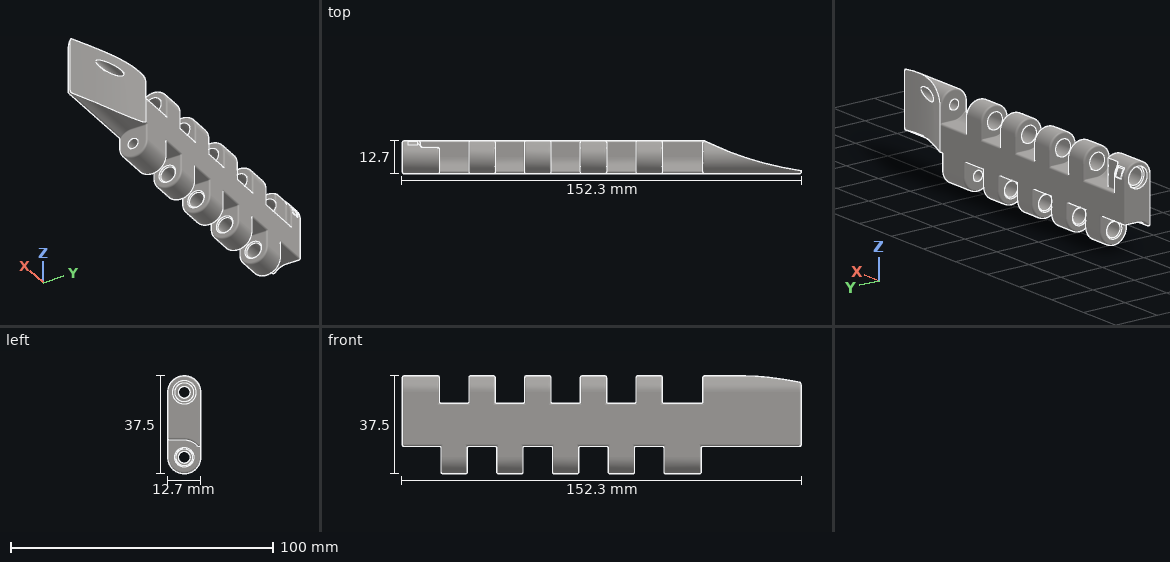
import cadquery as cq

length = 152.32
thickness = 12.7
height = 37.5
barrel_radius = thickness / 2
half_thickness = thickness / 2

first_knuckle_end = 14.53
knuckle_pitch = 10.63
side_clearance = 0.25
knuckles_per_side = 5
last_knuckle_width = 14.86

lower_axis_z = barrel_radius
upper_axis_z = height - barrel_radius
radial_clearance = 0.25
relief_radius = barrel_radius + radial_clearance

taper_start_x = 115.2
taper_radius = 127.0
tip_thickness = 1.25

bore_radius = 3.6
lower_bore_radius = 3.2
bore_chamfer = 0.5
pin_radius = 2.2
counterbore_radius = 4.5
counterbore_depth = 2.0

notch_start_x = 6.9
notch_depth = 2.6
recess_start_x = 2.3
recess_width = 3.6
recess_front_y = 4.75
recess_depth = 0.4

edge_fillet = 0.8
floor_fillet = 0.4
tolerance = 0.001


def step_x(index):
    """X of the nominal boundary between knuckle number index and the next one."""
    return first_knuckle_end + index * knuckle_pitch


last_boundary_x = step_x(2 * knuckles_per_side - 2)
last_knuckle_end_x = last_boundary_x + last_knuckle_width


def block(x_start, x_end, y_start, y_end, z_start, z_end):
    size = (x_end - x_start, y_end - y_start, z_end - z_start)
    return cq.Workplane("XY").box(*size, centered=False).translate((x_start, y_start, z_start))


def rod(radius, x_start, x_end, z):
    return cq.Workplane("YZ").center(0, z).circle(radius).extrude(x_end - x_start).translate((x_start, 0, 0))


def blank():
    """Plate with a full round along its upper and lower edges."""
    plate = block(0, length, -half_thickness, half_thickness, lower_axis_z, upper_axis_z)
    for axis_z in (lower_axis_z, upper_axis_z):
        plate = plate.union(rod(barrel_radius, 0, length, axis_z))
    return plate


def knuckle_gap(x_start, x_end, axis_z, outward):
    """Clearance for a mating knuckle: cylindrical toward the front, flat toward the back."""
    floor_z = axis_z - outward * relief_radius
    outer_z = axis_z + outward * relief_radius
    profile = (
        cq.Workplane("YZ")
        .moveTo(thickness, floor_z)
        .lineTo(0, floor_z)
        .radiusArc((-relief_radius, axis_z), outward * relief_radius)
        .lineTo(-relief_radius, outer_z)
        .lineTo(thickness, outer_z)
        .close()
    )
    return profile.extrude(x_end - x_start).translate((x_start, 0, 0))


def gaps():
    """All gaps of the upper row, then all gaps of the lower row."""
    cutters = []
    for index in range(knuckles_per_side):
        is_last = index == knuckles_per_side - 1
        start = step_x(2 * index)
        end = last_knuckle_end_x if is_last else step_x(2 * index + 1)
        cutters.append(knuckle_gap(start - side_clearance, end + side_clearance, upper_axis_z, 1))

    lower_start = 0
    for index in range(knuckles_per_side):
        cutters.append(knuckle_gap(lower_start, step_x(2 * index) + side_clearance, lower_axis_z, -1))
        lower_start = step_x(2 * index + 1) - side_clearance
    cutters.append(knuckle_gap(last_knuckle_end_x - side_clearance, length, lower_axis_z, -1))
    return cutters


def taper():
    """Everything behind the concave back of the long end."""
    profile = (
        cq.Workplane("XY")
        .moveTo(taper_start_x, half_thickness)
        .radiusArc((length, tip_thickness - half_thickness), -taper_radius)
        .lineTo(length, half_thickness)
        .close()
    )
    return profile.extrude(height)


def back_notch():
    floor_z = upper_axis_z - relief_radius
    front_y = half_thickness - notch_depth
    return block(notch_start_x, first_knuckle_end, front_y, half_thickness, floor_z, height)


def is_rounded_edge(edge):
    """True for outer corners; false for inside corners and lines where faces run on smoothly."""
    box = edge.BoundingBox()
    if box.xlen > tolerance:
        on_broad_face = box.ylen < tolerance and abs(abs(box.center.y) - half_thickness) < tolerance
        axis_distance = min(abs(box.center.z - lower_axis_z), abs(box.center.z - upper_axis_z))
        return on_broad_face and axis_distance > tolerance
    on_leaf_end = box.xmin < tolerance or box.xmax > length - tolerance
    is_upright = box.ylen < tolerance
    is_barrel_round = box.ylen > half_thickness + tolerance
    return on_leaf_end or is_upright or is_barrel_round


def is_floor_corner(edge):
    """True for the inside corners where a knuckle side meets the floor of a gap."""
    box = edge.BoundingBox()
    inside_leaf = box.xmin > notch_start_x + tolerance and box.xmax < length - tolerance
    in_cross_plane = box.xlen < tolerance and box.ylen > half_thickness / 2
    is_flat_floor = box.zlen < tolerance
    is_curved_floor = edge.geomType() == "CIRCLE" and box.ymax < tolerance
    return inside_leaf and in_cross_plane and (is_flat_floor or is_curved_floor)


def fillet_where(body, is_wanted, radius):
    wanted = [edge for edge in body.edges().vals() if is_wanted(edge)]
    return body.newObject(wanted).fillet(radius)


def back_recess():
    """Shallow recess that follows the round of the first upper barrel."""
    x_end = recess_start_x + recess_width
    window = block(recess_start_x, x_end, recess_front_y, thickness, upper_axis_z, height)
    return window.cut(rod(barrel_radius - recess_depth, recess_start_x, x_end, upper_axis_z))


def upper_holes():
    """Pin hole along the whole leaf, a wide bore in the knuckles and a counterbore at the start."""
    holes = rod(pin_radius, 0, length, upper_axis_z)
    holes = holes.union(rod(bore_radius, 0, last_boundary_x, upper_axis_z))
    return holes.union(rod(counterbore_radius, 0, counterbore_depth, upper_axis_z))


def lower_holes():
    """Pin hole through the row and a wide bore, chamfered at its mouths, in all but the last knuckle."""
    holes = rod(pin_radius, 0, length, lower_axis_z)
    for index in range(knuckles_per_side - 1):
        start = step_x(2 * index) + side_clearance
        end = step_x(2 * index + 1) - side_clearance
        bore = rod(lower_bore_radius, start, end, lower_axis_z)
        for x, inward in ((start, 1), (end, -1)):
            mouth = cq.Solid.makeCone(
                lower_bore_radius + bore_chamfer,
                lower_bore_radius,
                bore_chamfer,
                cq.Vector(x, 0, lower_axis_z),
                cq.Vector(inward, 0, 0),
            )
            bore = bore.union(cq.Workplane(mouth))
        holes = holes.union(bore)
    return holes


leaf = blank()
for gap in gaps():
    leaf = leaf.cut(gap)
leaf = leaf.cut(back_notch())
leaf = fillet_where(leaf, is_rounded_edge, edge_fillet)
leaf = fillet_where(leaf, is_floor_corner, floor_fillet)

result = leaf.cut(taper()).cut(back_recess()).cut(upper_holes()).cut(lower_holes())